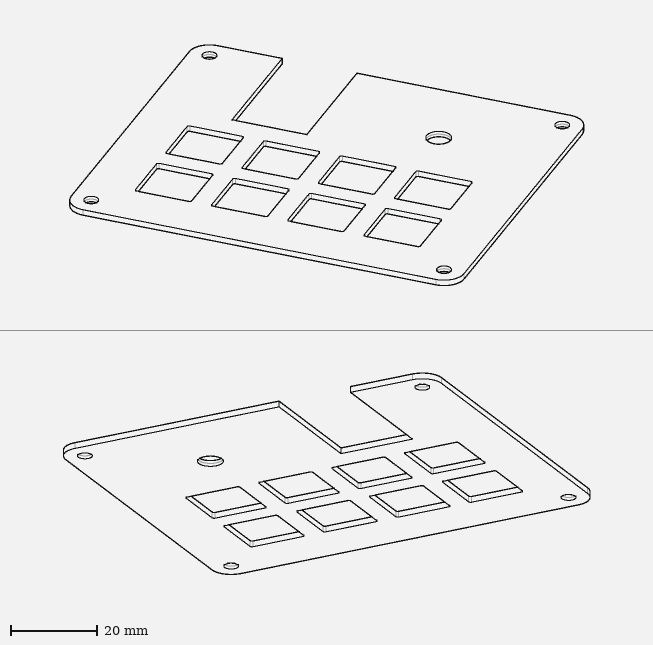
import cadquery as cq

length = 98.0
width = 83.4
thickness = 1.5
corner_radius = 5.0

screw_diameter = 3.4

key_columns = 4
key_rows = 2
key_size = 14.0
key_corner_radius = 0.5
key_pitch = 19.0
key_center_x = -0.8
key_center_y = -12.3

notch_left = -27.8
notch_width = 18.6
notch_depth = 31.2

knob_diameter = 6.0
knob_x = 19.7
knob_y = 20.5


def make_plate():
    plate = cq.Workplane("XY").box(length, width, thickness)
    return plate.edges("|Z").fillet(corner_radius)


def make_screw_holes():
    spacing_x = length - 2 * corner_radius
    spacing_y = width - 2 * corner_radius
    return (
        cq.Workplane("XY")
        .rect(spacing_x, spacing_y, forConstruction=True)
        .vertices()
        .circle(screw_diameter / 2)
        .extrude(thickness, both=True)
    )


def make_key_cutouts():
    return (
        cq.Workplane("XY")
        .center(key_center_x, key_center_y)
        .rarray(key_pitch, key_pitch, key_columns, key_rows)
        .rect(key_size, key_size)
        .extrude(thickness, both=True)
        .edges("|Z")
        .fillet(key_corner_radius)
    )


def make_notch():
    notch_x = notch_left + notch_width / 2
    notch_y = width / 2 - notch_depth / 2
    return cq.Workplane("XY").box(notch_width, notch_depth, 2 * thickness).translate((notch_x, notch_y, 0))


def make_knob_hole():
    return (
        cq.Workplane("XY")
        .center(knob_x, knob_y)
        .circle(knob_diameter / 2)
        .extrude(thickness, both=True)
    )


result = (
    make_plate()
    .cut(make_screw_holes())
    .cut(make_key_cutouts())
    .cut(make_notch())
    .cut(make_knob_hole())
)